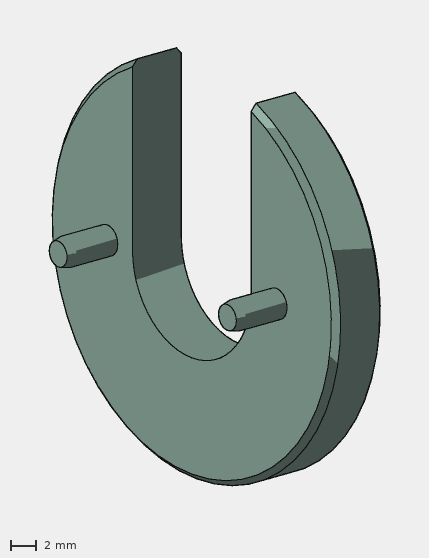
import cadquery as cq

disc_diameter = 33.97
disc_thickness = 5.0
rim_chamfer = 0.5
slot_width = 14.0

pin_diameter = 2.5
pin_length = 5.0
pin_spacing = 19.97
tip_length = 0.8
tip_inset = 0.2


def make_disc():
    """Disc from Y = 0 to Y = disc_thickness with both rims chamfered."""
    disc = cq.Workplane("XZ").circle(disc_diameter / 2).extrude(-disc_thickness)
    return disc.edges("%CIRCLE").chamfer(rim_chamfer)


def make_slot():
    """Through slot with a round bottom on the disc axis, open toward +Z."""
    half_width = slot_width / 2
    return (
        cq.Workplane("XZ")
        .moveTo(-half_width, disc_diameter)
        .lineTo(-half_width, 0)
        .threePointArc((0, -half_width), (half_width, 0))
        .lineTo(half_width, disc_diameter)
        .close()
        .extrude(-disc_thickness)
    )


def make_pin(x):
    """Pin revolved about its own axis, with a tapered tip at -Y."""
    radius = pin_diameter / 2
    profile = (
        cq.Workplane("XY")
        .moveTo(0, disc_thickness / 2)
        .lineTo(radius, disc_thickness / 2)
        .lineTo(radius, tip_length - pin_length)
        .lineTo(radius - tip_inset, -pin_length)
        .lineTo(0, -pin_length)
        .close()
    )
    return profile.revolve(360, (0, 0, 0), (0, 1, 0)).translate((x, 0, 0))


result = make_disc().cut(make_slot())
for side in (-1, 1):
    result = result.union(make_pin(side * pin_spacing / 2))